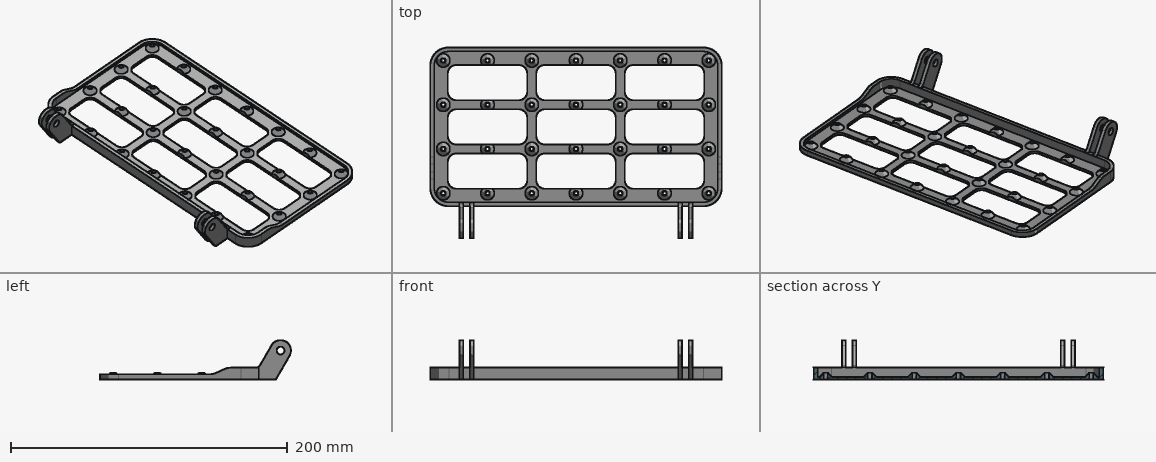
import cadquery as cq
import math

length = 210.8
columns = 7
rows = 4
edge_to_hole = 9.5
pitch = (length - 2 * edge_to_hole) / (columns - 1)
width = (rows - 1) * pitch + 2 * edge_to_hole
front_y = -width / 2
corner_radius = 13.3

floor_height = 2.0
rim_width = 3.0
low_rim_height = 4.0
high_rim_height = 8.9
ramp_back_y = -24.2
ramp_front_y = -34.8
ramp_blend_radius = 12.2

bar_width = 6.7
window_length = 2 * pitch - bar_width
window_width = pitch - bar_width
window_radius = 6.0

stud_base_diameter = 9.7
stud_top_diameter = 3.5
stud_top_height = 5.0
stud_hole_diameter = 2.7

lug_thickness = 3.0
lug_pitch = 7.5
outer_lug_inset = 21.0
lug_reach = 23.2
lug_top = 28.7
lug_radius = 7.5
lug_hole_diameter = 5.5
lug_lean = math.radians(30)
lug_root_radius = 3.4


def rounded_block(size_x, size_y, height, radius):
    return cq.Workplane("XY").rect(size_x, size_y).extrude(height).edges("|Z").fillet(radius)


def make_rim():
    """Ring wall whose top steps up along a blended ramp towards the front."""
    outer = rounded_block(length, width, high_rim_height, corner_radius)
    inner = rounded_block(
        length - 2 * rim_width, width - 2 * rim_width, high_rim_height, corner_radius - rim_width
    )
    side_envelope = (
        cq.Workplane("YZ", origin=(-length / 2, 0, 0))
        .moveTo(-front_y, 0)
        .lineTo(-front_y, low_rim_height)
        .lineTo(ramp_back_y, low_rim_height)
        .lineTo(ramp_front_y, high_rim_height)
        .lineTo(front_y, high_rim_height)
        .lineTo(front_y, 0)
        .close()
        .extrude(length)
    )
    for y, z in ((ramp_back_y, low_rim_height), (ramp_front_y, high_rim_height)):
        ramp_edge = cq.NearestToPointSelector((0, y, z))
        side_envelope = side_envelope.edges(ramp_edge).fillet(ramp_blend_radius)
    return outer.cut(inner).intersect(side_envelope)


def make_floor_with_studs():
    """Flat floor carrying a cone at every grid point."""
    stud_rise = stud_top_height - floor_height
    stud = cq.Solid.makeCone(stud_base_diameter / 2, stud_top_diameter / 2, stud_rise)
    floor = rounded_block(length, width, floor_height, corner_radius)
    studs = (
        cq.Workplane("XY", origin=(0, 0, floor_height))
        .rarray(pitch, pitch, columns, rows)
        .eachpoint(lambda place: stud.moved(place))
    )
    return floor.union(studs)


def make_windows():
    return (
        cq.Workplane("XY")
        .rarray(2 * pitch, pitch, (columns - 1) // 2, rows - 1)
        .rect(window_length, window_width)
        .extrude(high_rim_height)
        .edges("|Z")
        .fillet(window_radius)
    )


def make_stud_holes():
    return (
        cq.Workplane("XY")
        .rarray(pitch, pitch, columns, rows)
        .circle(stud_hole_diameter / 2)
        .extrude(high_rim_height)
    )


def make_lug(x_start):
    """Leaning round-ended plate, blended into the top of the front rim."""
    eye_y = front_y - lug_reach + lug_radius
    eye_z = lug_top - lug_radius
    side_y = lug_radius * math.cos(lug_lean)
    side_z = lug_radius * math.sin(lug_lean)
    lean = math.tan(lug_lean)
    lower_foot_y = eye_y - side_y + (eye_z - side_z) * lean

    upper_foot_y = eye_y + side_y + (eye_z + side_z - high_rim_height) * lean
    blend_turn = math.pi / 2 - lug_lean
    blend_start_y = upper_foot_y + lug_root_radius * math.tan(blend_turn / 2)
    blend_center_z = high_rim_height + lug_root_radius

    def blend_point(turn):
        return (
            blend_start_y - lug_root_radius * math.sin(turn),
            blend_center_z - lug_root_radius * math.cos(turn),
        )

    tip = (eye_y - lug_radius * math.sin(lug_lean), eye_z + lug_radius * math.cos(lug_lean))
    return (
        cq.Workplane("YZ", origin=(x_start, 0, 0))
        .moveTo(lower_foot_y, 0)
        .lineTo(eye_y - side_y, eye_z - side_z)
        .threePointArc(tip, (eye_y + side_y, eye_z + side_z))
        .lineTo(*blend_point(blend_turn))
        .threePointArc(blend_point(blend_turn / 2), blend_point(0))
        .lineTo(blend_start_y, 0)
        .close()
        .moveTo(eye_y, eye_z)
        .circle(lug_hole_diameter / 2)
        .extrude(lug_thickness)
    )


body = make_floor_with_studs().union(make_rim())
body = body.cut(make_windows()).cut(make_stud_holes())

for lug_inset in (outer_lug_inset, outer_lug_inset + lug_pitch):
    lug = make_lug(-length / 2 + lug_inset)
    body = body.union(lug).union(lug.mirror("YZ"))

result = body